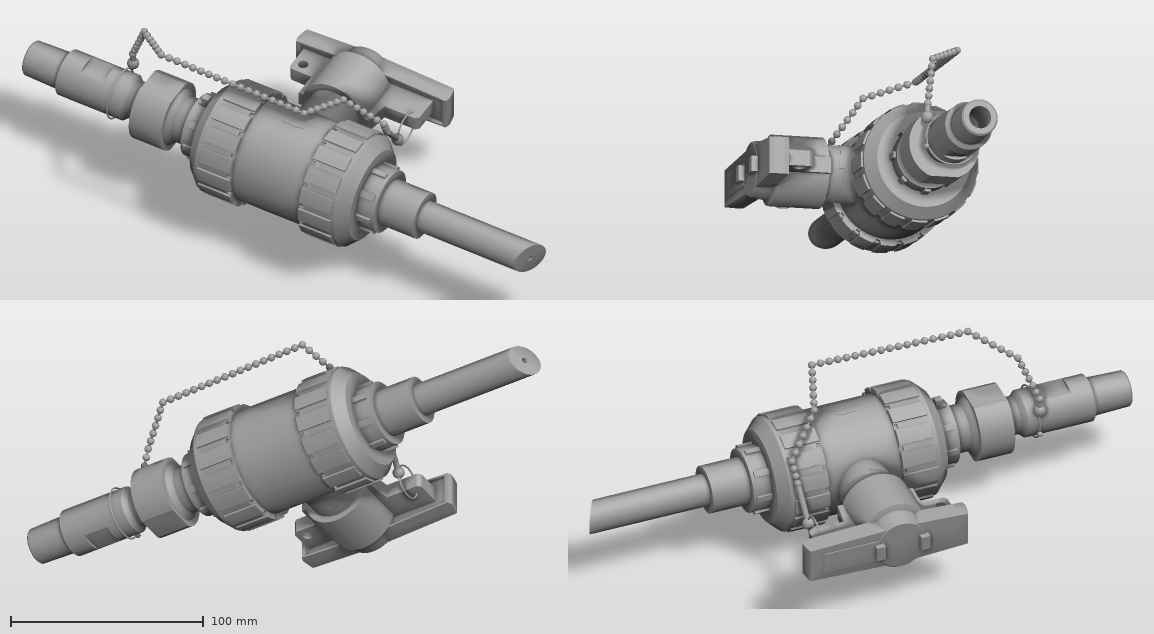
import cadquery as cq
import math

TOTAL_LENGTH = 302.8
AXIS_X = cq.Vector(1, 0, 0)

NOZZLE_END = 20.3
NOZZLE_TIP_RADIUS = 9.7
NOZZLE_RADIUS = 10.3
NOZZLE_CHAMFER = 1.0
PIPE_RADIUS = 12.7
PIPE_START = 22.0
PIPE_END = 59.7
NECK_START = 62.5
NECK_RADIUS = 10.3
CLAMP_START = 69.3
CLAMP_END = 88.0
CLAMP_RADIUS = 38.0 / 2
CLAMP_FLAT = 34.5 / 2
CLAMP_SHOULDER_RADIUS = 15.7
CLAMP_SHOULDER_END = 91.5
VALVE_CENTER = 157.0
BODY_RADIUS = 28.5
SPIGOT_END = 235.3
ROD_RADIUS = 17.3 / 2
ROD_CUT_LENGTH = 9.0
ROD_BORE_DIAMETER = 3.0
ROD_BORE_DEPTH = 15.0

INLET_BORE_DIAMETER = 11.8
INLET_BORE_DEPTH = 24.2
INNER_BORE_DIAMETER = 6.5
INNER_BORE_DEPTH = 36.3

PIPE_FLAT = 11.0
PIPE_FLAT_START = 33.5
PIPE_FLAT_LENGTH = 14.0

NUT_INNER = 20.5
NUT_RIM_START = 39.7
NUT_RIM_END = 41.8
NUT_OUTER = 47.5
NUT_RADIUS = 61.5 / 2
NUT_FACE_RADIUS = 25.0
GRIP_RADIUS = 31.8
GRIP_COUNT = 16
GRIP_WIDTH = 8.2
NOTCH_LENGTH = 2.0
NOTCH_WIDTH = 2.5
NOTCH_FLOOR = 29.5

CONNECTOR_OUTER = 57.5
CONNECTOR_RADIUS = 17.3
CONNECTOR_RIB_RADIUS = 37.2 / 2
CONNECTOR_RIB_COUNT = 8
CONNECTOR_RIB_WIDTH = 3.3
CONNECTOR_RIB_END = 55.7

LATCH_X = 105.0
LATCH_LENGTH = 4.0
LATCH_WIDTH = 4.0
LATCH_TOP = 23.0

ARROW_LENGTH = 12.0
ARROW_HEAD_LENGTH = 6.0
ARROW_HEAD_HALF_WIDTH = 1.8
ARROW_SHAFT_HALF_WIDTH = 1.0
ARROW_RISE = 0.3

STEM_RADIUS = 14.8
CAM_RADIUS = 15.0
CAM_LOW = 33.0
CAM_HIGH = 36.5
CAM_TEETH = 4
HUB_START = 42.7
HUB_RADIUS = 37.2 / 2
BAR_START = 70.0
BAR_END = 80.2
DOME_SHOULDER_Y = 71.2
DOME_SHOULDER_RADIUS = 15.7
DOME_RIM_Y = 79.5
DOME_RIM_RADIUS = 14.5
DOME_TOP_Y = 80.5
DOME_TOP_RADIUS = 13.5
BAR_LEFT = 118.0
BAR_RIGHT = 209.0
BAR_END_HALF_WIDTH = 9.7
BAR_MIDDLE_HALF_WIDTH = 11.8
BAR_SIDE_WALL = 1.0
BAR_END_WALL = 2.7
BAR_RIDGE_Y = 72.7
BAR_FRONT_SETBACK = 1.0
BAR_SHOULDER_Y = 78.0
BAR_SHOULDER_SETBACK = 1.0
BAR_BACK_SETBACK = 1.5
BAR_RECESS_DEPTH = 2.0

WEB_THICKNESS = 8.2
WEB_STEP = 56.0
WEB_LEFT = 122.3
WEB_RIGHT = 199.5
WEB_FOOT_LEFT = 136.0
WEB_FOOT_RIGHT = 177.8
WEB_FOOT_RIGHT_TOP = 179.5
WEB_CHAMFER = 1.8
WEB_HOLE_DIAMETER = 5.5
WEB_HOLE_INSET = 5.5
WEB_HOLE_Y = 61.8

TAB_OFFSET = 12.5
TAB_LENGTH = 4.8
TAB_TOP = 84.0
LABEL_START = 169.5
LABEL_END = 200.0
LABEL_HALF_WIDTH = 6.0
LABEL_RISE = 0.5

BEAD_DIAMETER = 4.0
BEAD_PITCH = 4.8
LINK_DIAMETER = 1.2
SLEEVE_DIAMETER = 3.0
END_BALL_DIAMETER = 6.5
PIPE_RING_X = 53.5
PIPE_RING_RADIUS = 14.0
WIRE_DIAMETER = 1.0
CRIMP_DIAMETER = 3.0
CRIMP_Z = -5.0
PIPE_BALL = cq.Vector(PIPE_RING_X, 13.5, 10.3)
HANDLE_BALL = cq.Vector(194.5, 43.5, -2.0)
CHAIN_CORNERS = [
    cq.Vector(PIPE_RING_X, 13.3, 17.5),
    cq.Vector(63.5, 8.0, 43.5),
    cq.Vector(84.2, -11.0, 53.3),
    cq.Vector(170.5, -12.7, 54.5),
    cq.Vector(179.3, 13.3, 46.0),
    cq.Vector(196.5, 25.5, 26.0),
    cq.Vector(195.3, 31.0, 15.0),
]


def rod_between(start, end, diameter):
    """Round bar from one point to another."""
    axis = end - start
    return cq.Workplane(cq.Solid.makeCylinder(diameter / 2, axis.Length, start, axis))


def cylinder_x(start, end, radius):
    return rod_between(cq.Vector(start, 0, 0), cq.Vector(end, 0, 0), 2 * radius)


def cylinder_y(start, end, radius):
    return rod_between(cq.Vector(VALVE_CENTER, start, 0), cq.Vector(VALVE_CENTER, end, 0), 2 * radius)


def ball(center, diameter):
    return cq.Workplane("XY").sphere(diameter / 2).translate(center)


def box(x_start, x_end, y_start, y_end, z_start, z_end):
    size = (x_end - x_start, y_end - y_start, z_end - z_start)
    return cq.Workplane("XY").box(*size, centered=False).translate((x_start, y_start, z_start))


def revolve_around_x(outline):
    return cq.Workplane("XY").polyline(outline).close().revolve(360, (0, 0, 0), (1, 0, 0))


def mirror_about_valve(shape):
    return shape.mirror("YZ", (VALVE_CENTER, 0, 0))


def make_flow_line():
    """Turned inlet, valve body and outlet spigot with their flats and bores."""
    outline = [
        (0, 0),
        (0, NOZZLE_TIP_RADIUS - NOZZLE_CHAMFER),
        (NOZZLE_CHAMFER, NOZZLE_TIP_RADIUS),
        (NOZZLE_END, NOZZLE_RADIUS),
        (PIPE_START, PIPE_RADIUS),
        (PIPE_END, PIPE_RADIUS),
        (NECK_START, NECK_RADIUS),
        (CLAMP_END, NECK_RADIUS),
        (CLAMP_END, CLAMP_SHOULDER_RADIUS),
        (CLAMP_SHOULDER_END, PIPE_RADIUS),
        (SPIGOT_END, PIPE_RADIUS),
        (SPIGOT_END, 0),
    ]
    line = revolve_around_x(outline)

    flat_end = PIPE_FLAT_START + PIPE_FLAT_LENGTH
    for side in (1, -1):
        low, high = sorted((side * PIPE_FLAT, side * PIPE_RADIUS))
        line = line.cut(box(PIPE_FLAT_START, flat_end, -PIPE_RADIUS, PIPE_RADIUS, low, high))

    clamp = cylinder_x(CLAMP_START, CLAMP_END, CLAMP_RADIUS).intersect(
        box(CLAMP_START, CLAMP_END, -CLAMP_RADIUS, CLAMP_RADIUS, -CLAMP_FLAT, CLAMP_FLAT)
    )
    body = cylinder_x(VALVE_CENTER - NUT_INNER, VALVE_CENTER + NUT_INNER, BODY_RADIUS)
    line = line.union(clamp).union(body)

    bore_radius = INLET_BORE_DIAMETER / 2
    inner_radius = INNER_BORE_DIAMETER / 2
    bore_outline = [
        (0, 0),
        (0, bore_radius),
        (INLET_BORE_DEPTH, bore_radius),
        (INLET_BORE_DEPTH + bore_radius - inner_radius, inner_radius),
        (INNER_BORE_DEPTH, inner_radius),
        (INNER_BORE_DEPTH, 0),
    ]
    bore = revolve_around_x(bore_outline)
    return line.cut(bore)


def make_outlet_rod():
    """Plain rod with a slanted end and a small end bore."""
    rod = (
        cq.Workplane("XY")
        .polyline([
            (SPIGOT_END, -ROD_RADIUS),
            (TOTAL_LENGTH - ROD_CUT_LENGTH, -ROD_RADIUS),
            (TOTAL_LENGTH, ROD_RADIUS),
            (SPIGOT_END, ROD_RADIUS),
        ])
        .close()
        .extrude(ROD_RADIUS, both=True)
    )
    rod = rod.intersect(cylinder_x(SPIGOT_END, TOTAL_LENGTH, ROD_RADIUS))
    return rod.cut(cylinder_x(TOTAL_LENGTH - ROD_BORE_DEPTH, TOTAL_LENGTH, ROD_BORE_DIAMETER / 2))


def ribs_around_x(start, end, radius, width, count):
    """Bars standing radially around the flow axis, trimmed to a round crest."""
    ribs = cq.Workplane("XY")
    for index in range(count):
        rib = box(start, end, -width / 2, width / 2, 0, 2 * radius)
        ribs = ribs.add(rib.rotate((0, 0, 0), AXIS_X.toTuple(), index * 360 / count))
    return ribs.combine().intersect(cylinder_x(start, end, radius))


def make_outlet_nut_and_connector():
    """Union nut with finger grips, and the ribbed connector it holds."""
    outline = [
        (NUT_INNER, 0),
        (NUT_INNER, NUT_RADIUS),
        (NUT_RIM_END, NUT_RADIUS),
        (NUT_OUTER, NUT_FACE_RADIUS),
        (NUT_OUTER, CONNECTOR_RADIUS),
        (CONNECTOR_OUTER, CONNECTOR_RADIUS),
        (CONNECTOR_OUTER, 0),
    ]
    nut = revolve_around_x(outline)
    nut = nut.union(ribs_around_x(NUT_INNER, NUT_RIM_START, GRIP_RADIUS, GRIP_WIDTH, GRIP_COUNT))
    for index in range(GRIP_COUNT):
        notch = box(
            NUT_INNER, NUT_INNER + NOTCH_LENGTH, -NOTCH_WIDTH / 2, NOTCH_WIDTH / 2, NOTCH_FLOOR, GRIP_RADIUS
        )
        nut = nut.cut(notch.rotate((0, 0, 0), AXIS_X.toTuple(), (index + 0.5) * 360 / GRIP_COUNT))
    nut = nut.union(ribs_around_x(
        NUT_OUTER, CONNECTOR_RIB_END, CONNECTOR_RIB_RADIUS, CONNECTOR_RIB_WIDTH, CONNECTOR_RIB_COUNT
    ))
    return nut.translate((VALVE_CENTER, 0, 0))


def make_latch():
    """Small stud on top of the inlet connector."""
    start = LATCH_X - LATCH_LENGTH / 2
    half_width = LATCH_WIDTH / 2
    return box(start, start + LATCH_LENGTH, -half_width, half_width, NECK_RADIUS, LATCH_TOP)


def make_arrow():
    """Raised flow arrow on top of the body, pointing to the outlet."""
    tail = VALVE_CENTER - ARROW_LENGTH / 2
    tip = VALVE_CENTER + ARROW_LENGTH / 2
    neck = tip - ARROW_HEAD_LENGTH
    outline = [
        (tail, -ARROW_SHAFT_HALF_WIDTH),
        (neck, -ARROW_SHAFT_HALF_WIDTH),
        (neck, -ARROW_HEAD_HALF_WIDTH),
        (tip, 0),
        (neck, ARROW_HEAD_HALF_WIDTH),
        (neck, ARROW_SHAFT_HALF_WIDTH),
        (tail, ARROW_SHAFT_HALF_WIDTH),
    ]
    arrow = cq.Workplane("XY").polyline(outline).close().extrude(2 * BODY_RADIUS)
    return arrow.intersect(cylinder_x(tail, tip, BODY_RADIUS + ARROW_RISE))


def make_stem():
    """Stem with a saw-toothed cam collar at its foot."""
    half_chord = CAM_RADIUS * math.sin(math.pi / CAM_TEETH)
    tooth = (
        cq.Workplane("XY")
        .polyline([(-half_chord, 0), (half_chord, 0), (half_chord, CAM_LOW), (-half_chord, CAM_HIGH)])
        .close()
        .extrude(CAM_RADIUS)
    )
    teeth = cq.Workplane("XY")
    for index in range(CAM_TEETH):
        angle = (index + 0.5) * 360 / CAM_TEETH
        teeth = teeth.add(tooth.rotate((0, 0, 0), (0, 1, 0), angle).translate((VALVE_CENTER, 0, 0)))
    collar = teeth.combine().intersect(cylinder_y(0, CAM_HIGH, CAM_RADIUS))
    return cylinder_y(0, BAR_START, STEM_RADIUS).union(collar)


def bar_plan(side_inset, end_inset):
    """Hexagonal grip outline, widest at the stem, shrunk by the insets; drawn in X and Z."""
    end = BAR_END_HALF_WIDTH - side_inset
    middle = BAR_MIDDLE_HALF_WIDTH - side_inset
    left = BAR_LEFT + end_inset
    right = BAR_RIGHT - end_inset
    points = [
        (left, -end),
        (VALVE_CENTER, -middle),
        (right, -end),
        (right, end),
        (VALVE_CENTER, middle),
        (left, end),
    ]
    return cq.Workplane("XZ").polyline(points).close()


def bar_side():
    """Grip outline seen along Z, with a blunt ridge across each end."""
    points = [
        (BAR_LEFT + BAR_FRONT_SETBACK, BAR_START),
        (BAR_RIGHT - BAR_FRONT_SETBACK, BAR_START),
        (BAR_RIGHT, BAR_RIDGE_Y),
        (BAR_RIGHT - BAR_SHOULDER_SETBACK, BAR_SHOULDER_Y),
        (BAR_RIGHT - BAR_BACK_SETBACK, BAR_END),
        (BAR_LEFT + BAR_BACK_SETBACK, BAR_END),
        (BAR_LEFT + BAR_SHOULDER_SETBACK, BAR_SHOULDER_Y),
        (BAR_LEFT, BAR_RIDGE_Y),
    ]
    return cq.Workplane("XY").polyline(points).close().extrude(BAR_MIDDLE_HALF_WIDTH, both=True)


def make_handle():
    """Hub, grip bar recessed on its inner face, central web and the tabs on the outer face."""
    bar = bar_plan(0, 0).extrude(BAR_START - BAR_END).translate((0, BAR_START, 0))
    recess = bar_plan(BAR_SIDE_WALL, BAR_END_WALL).extrude(-BAR_RECESS_DEPTH)
    recess = recess.translate((0, BAR_START, 0))
    dome = (
        cq.Workplane("XY")
        .polyline([
            (0, BAR_START),
            (HUB_RADIUS, BAR_START),
            (DOME_SHOULDER_RADIUS, DOME_SHOULDER_Y),
            (DOME_RIM_RADIUS, DOME_RIM_Y),
            (DOME_TOP_RADIUS, DOME_TOP_Y),
            (0, DOME_TOP_Y),
        ])
        .close()
        .revolve(360, (0, 0, 0), (0, 1, 0))
        .translate((VALVE_CENTER, 0, 0))
    )
    bar = bar.intersect(bar_side()).cut(recess).union(dome)
    hub = cylinder_y(HUB_START, BAR_START, HUB_RADIUS)

    web_outline = [
        (WEB_FOOT_LEFT, HUB_START),
        (WEB_FOOT_RIGHT, HUB_START),
        (WEB_FOOT_RIGHT_TOP, WEB_STEP),
        (WEB_RIGHT - WEB_CHAMFER, WEB_STEP),
        (WEB_RIGHT, WEB_STEP + WEB_CHAMFER),
        (WEB_RIGHT, BAR_END),
        (WEB_LEFT, BAR_END),
        (WEB_LEFT, WEB_STEP + WEB_CHAMFER),
        (WEB_LEFT + WEB_CHAMFER, WEB_STEP),
        (WEB_FOOT_LEFT, WEB_STEP),
    ]
    web = cq.Workplane("XY").polyline(web_outline).close().extrude(WEB_THICKNESS / 2, both=True)
    hole = cq.Workplane("XY").circle(WEB_HOLE_DIAMETER / 2).extrude(WEB_THICKNESS, both=True)
    web = web.cut(hole.translate((WEB_LEFT + WEB_HOLE_INSET, WEB_HOLE_Y, 0)))

    handle = bar.union(hub).union(web)
    for side in (1, -1):
        center = VALVE_CENTER + side * TAB_OFFSET
        half = TAB_LENGTH / 2
        thickness = WEB_THICKNESS / 2
        handle = handle.union(box(center - half, center + half, BAR_START, TAB_TOP, -thickness, thickness))
    label_top = BAR_END + LABEL_RISE
    return handle.union(
        box(LABEL_START, LABEL_END, BAR_END, label_top, -LABEL_HALF_WIDTH, LABEL_HALF_WIDTH)
    )


def wire_ring(x, y, z, radius):
    """Closed wire ring lying square to the flow axis."""
    center = cq.Vector(x, y, z)
    return cq.Workplane(cq.Solid.makeTorus(radius, WIRE_DIAMETER / 2, center, AXIS_X))


def make_chain():
    """Bead chain from a ring on the inlet pipe to a ring through the handle web."""
    first = CHAIN_CORNERS[0]
    last = CHAIN_CORNERS[-1]
    handle_ring_radius = (WEB_HOLE_Y - HANDLE_BALL.y) / 2
    pieces = [
        wire_ring(PIPE_RING_X, 0, 0, PIPE_RING_RADIUS),
        ball(cq.Vector(PIPE_RING_X, PIPE_RING_RADIUS, CRIMP_Z), CRIMP_DIAMETER),
        ball(PIPE_BALL, END_BALL_DIAMETER),
        rod_between(PIPE_BALL, first, SLEEVE_DIAMETER),
        ball(HANDLE_BALL, END_BALL_DIAMETER),
        rod_between(HANDLE_BALL, last, SLEEVE_DIAMETER),
        wire_ring(HANDLE_BALL.x, HANDLE_BALL.y + handle_ring_radius, HANDLE_BALL.z, handle_ring_radius),
    ]
    for start, end in zip(CHAIN_CORNERS, CHAIN_CORNERS[1:]):
        run = end - start
        steps = round(run.Length / BEAD_PITCH)
        pieces.append(rod_between(start, end, LINK_DIAMETER))
        for index in range(steps):
            pieces.append(ball(start + run * (index / steps), BEAD_DIAMETER))
    pieces.append(ball(last, BEAD_DIAMETER))
    shapes = [piece.val() for piece in pieces]
    return cq.Workplane(shapes[0].fuse(*shapes[1:]))


outlet_nut = make_outlet_nut_and_connector()
result = make_flow_line()
for feature in (
    outlet_nut,
    mirror_about_valve(outlet_nut),
    make_outlet_rod(),
    make_latch(),
    make_arrow(),
    make_stem(),
    make_handle(),
    make_chain(),
):
    result = result.union(feature)